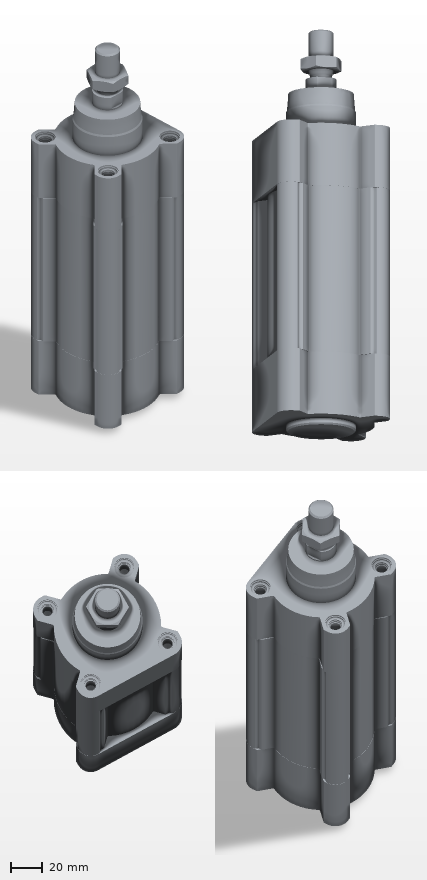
import cadquery as cq
import math

rear_spigot_height = 4.0
cap_height = 41.0
front_cap_base = 154.5
front_cap_top = front_cap_base + cap_height
rear_cap_top = rear_spigot_height + cap_height
total_height = 263.0

tolerance = 0.03

body_width = 75.0
half_width = body_width / 2
barrel_diameter = 69.0
bolt_pitch = 56.5
bolt_offset = bolt_pitch / 2
lobe_radius = half_width - bolt_offset

cap_arm_offset = 12.4
cap_edge_radius = 0.8

tube_inset = 0.13
tube_arm_offset = 13.2
tube_tip_offset = 10.5
tube_step = 35.8
tube_root_radius = 1.3

collar_diameter = 45.0
collar_shoulder = 209.7
collar_chamfer = 0.5
collar_chamfer_height = 1.3
collar_top = 222.0
collar_top_diameter = 42.0
spigot_chamfer = 1.0

recess_diameters = [13.2, 12.0, 8.7, 8.0]
recess_step = 1.0
thread_core_diameter = 6.5
thread_depth = 15.8
drill_half_angle = 59.0

rod_diameter = 20.0
rod_seat = 184.2
flats_width = 17.0
flats_base = 223.0
flats_top = 231.5
neck_diameter = 14.0
neck_top = 233.6
thread_diameter = 16.0
thread_start = 236.8
thread_tip_chamfer = 1.0

nut_across_flats = 24.0
nut_base = 237.3
nut_height = 8.0
nut_face_diameter = 23.7
nut_chamfer_height = 0.8


def make_lobe(half_outline, tip_radius, level, height):
    """Prism of the +X +Y lobe, symmetric about the diagonal and rounded around the bolt axis.

    half_outline lists the points on the +X side, from the axis to the start of the corner arc.
    """
    start = half_outline[-1]
    tip = bolt_offset + tip_radius / math.sqrt(2)
    outline = cq.Workplane("XY").workplane(offset=level).polyline(half_outline)
    outline = outline.threePointArc((tip, tip), (start[1], start[0]))
    for x, y in reversed(half_outline[1:-1]):
        outline = outline.lineTo(y, x)
    return outline.close().extrude(height)


def round_upright_edges(body, distance, radius):
    """Fillet the vertical edges off the X and Y axes that lie at this distance from the Z axis."""
    def is_match(edge):
        center = edge.Center()
        off_axis = min(abs(center.x), abs(center.y)) > radius
        return off_axis and abs(math.hypot(center.x, center.y) - distance) < tolerance

    return body.newObject(body.edges("|Z").filter(is_match).vals()).fillet(radius)


def lobed_prism(lobe, diameter, root_radius, level, height):
    """Cylinder with a lobe at each corner and rounded roots between them."""
    prism = cq.Workplane("XY").workplane(offset=level).circle(diameter / 2).extrude(height)
    for corner in range(4):
        prism = prism.union(lobe.rotate((0, 0, 0), (0, 0, 1), 90 * corner))
    return round_upright_edges(prism, diameter / 2, root_radius)


def make_cap(level):
    """End cap with four lobes and a flat +Y side."""
    corner_y = half_width - cap_arm_offset
    half_outline = [(0, 0), (cap_arm_offset, 0), (half_width, corner_y), (half_width, bolt_offset)]
    lobe = make_lobe(half_outline, lobe_radius, level, cap_height)
    lobe = round_upright_edges(lobe, math.hypot(half_width, corner_y), cap_edge_radius)
    cap = lobed_prism(lobe, barrel_diameter, cap_edge_radius, level, cap_height)
    flat_side = (
        cq.Workplane("XY")
        .box(2 * bolt_offset, half_width, cap_height, centered=(True, False, False))
        .translate((0, 0, level))
    )
    return cap.union(flat_side)


def make_tube():
    """Tube between the caps, with stepped lobes."""
    tip_radius = lobe_radius - tube_inset
    half_sum = math.sqrt(2 * tip_radius**2 - tube_tip_offset**2) / 2
    arc_start = (bolt_offset + half_sum + tube_tip_offset / 2, bolt_offset + half_sum - tube_tip_offset / 2)
    half_outline = [
        (0, 0),
        (tube_arm_offset, 0),
        (tube_step, tube_step - tube_arm_offset),
        (tube_step, tube_step - tube_tip_offset),
        arc_start,
    ]
    height = front_cap_base - rear_cap_top
    lobe = make_lobe(half_outline, tip_radius, rear_cap_top, height)
    return lobed_prism(lobe, barrel_diameter - 2 * tube_inset, tube_root_radius, rear_cap_top, height)


def make_collar():
    r = collar_diameter / 2
    shoulder_r = r - collar_chamfer
    return (
        cq.Workplane("XZ")
        .moveTo(0, front_cap_top)
        .lineTo(r, front_cap_top)
        .lineTo(r, collar_shoulder)
        .lineTo(shoulder_r, collar_shoulder + collar_chamfer_height)
        .lineTo(collar_top_diameter / 2, collar_top)
        .lineTo(0, collar_top)
        .close()
        .revolve(360, (0, 0, 0), (0, 1, 0))
    )


def make_spigot():
    spigot = cq.Workplane("XY").circle(collar_diameter / 2).extrude(rear_spigot_height)
    return spigot.faces("<Z").chamfer(spigot_chamfer)


def screw_recess():
    """Stepped hole on the Z axis, narrowing downward from the top of the front cap to a drill point."""
    core_r = thread_core_diameter / 2
    level = front_cap_top
    outline = cq.Workplane("XZ").moveTo(0, level)
    for diameter in recess_diameters:
        outline = outline.lineTo(diameter / 2, level)
        level -= recess_step
        outline = outline.lineTo(diameter / 2, level)
    core_floor = front_cap_top - thread_depth
    tip = core_floor - core_r / math.tan(math.radians(drill_half_angle))
    outline = outline.lineTo(core_r, level).lineTo(core_r, core_floor).lineTo(0, tip)
    return outline.close().revolve(360, (0, 0, 0), (0, 1, 0))


def make_rod():
    rod = cq.Workplane("XY").workplane(offset=rod_seat).circle(rod_diameter / 2).extrude(flats_top - rod_seat)
    side = (
        cq.Workplane("XY")
        .box(rod_diameter, rod_diameter, flats_top - flats_base, centered=(False, True, False))
        .translate((flats_width / 2, 0, flats_base))
    )
    rod = rod.cut(side).cut(side.mirror("YZ"))
    r = thread_diameter / 2
    end = (
        cq.Workplane("XZ")
        .moveTo(0, flats_top)
        .lineTo(neck_diameter / 2, flats_top)
        .lineTo(neck_diameter / 2, neck_top)
        .lineTo(r, thread_start)
        .lineTo(r, total_height - thread_tip_chamfer)
        .lineTo(r - thread_tip_chamfer, total_height)
        .lineTo(0, total_height)
        .close()
        .revolve(360, (0, 0, 0), (0, 1, 0))
    )
    return rod.union(end)


def make_nut():
    across_corners = 2 * nut_across_flats / math.sqrt(3)
    blank = (
        cq.Workplane("XY")
        .workplane(offset=nut_base)
        .polygon(6, across_corners)
        .extrude(nut_height)
        .rotate((0, 0, 0), (0, 0, 1), 30)
    )
    corner_r = across_corners / 2
    face_r = nut_face_diameter / 2
    nut_top = nut_base + nut_height
    rounding = (
        cq.Workplane("XZ")
        .moveTo(0, nut_base)
        .lineTo(face_r, nut_base)
        .lineTo(corner_r, nut_base + nut_chamfer_height)
        .lineTo(corner_r, nut_top - nut_chamfer_height)
        .lineTo(face_r, nut_top)
        .lineTo(0, nut_top)
        .close()
        .revolve(360, (0, 0, 0), (0, 1, 0))
    )
    hole = cq.Workplane("XY").workplane(offset=nut_base).circle(thread_diameter / 2).extrude(nut_height)
    return blank.intersect(rounding).cut(hole)


def make_housing():
    """Caps, tube, collar and spigot in one, with the screw recesses and the rod bore."""
    housing = make_cap(rear_spigot_height).union(make_tube()).union(make_cap(front_cap_base))
    housing = housing.union(make_collar()).union(make_spigot())
    recess = screw_recess()
    for x_side in (-1, 1):
        for y_side in (-1, 1):
            housing = housing.cut(recess.translate((x_side * bolt_offset, y_side * bolt_offset, 0)))
    bore_depth = collar_top - rod_seat
    bore = cq.Workplane("XY").workplane(offset=rod_seat).circle(rod_diameter / 2).extrude(bore_depth)
    return housing.cut(bore)


housing = make_housing()
rod = make_rod()
nut = make_nut()
result = cq.Compound.makeCompound([housing.val(), rod.val(), nut.val()])